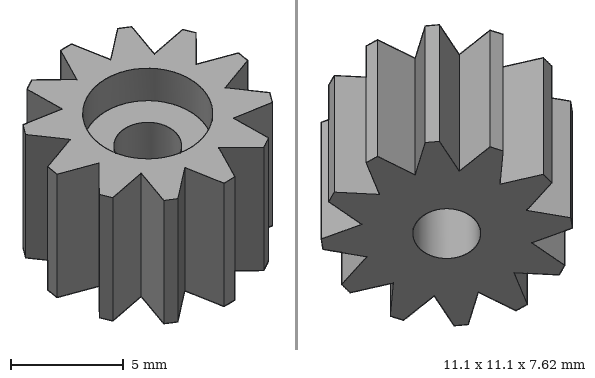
import cadquery as cq
import math

outer_size = 11.13
height = 7.62

tooth_count = 12
tip_width = 0.63
root_radius = 3.81

bore_diameter = 3.0
counterbore_diameter = 5.77
counterbore_depth = 2.0


def rotated(x, y, angle):
    """Turn a point about the Z axis."""
    return (
        x * math.cos(angle) - y * math.sin(angle),
        x * math.sin(angle) + y * math.cos(angle),
    )


def gear_outline():
    """Two tip corners and the following root point for each tooth."""
    pitch_angle = 2 * math.pi / tooth_count
    points = []
    for tooth in range(tooth_count):
        angle = tooth * pitch_angle
        points.append(rotated(outer_size / 2, -tip_width / 2, angle))
        points.append(rotated(outer_size / 2, tip_width / 2, angle))
        points.append(rotated(root_radius, 0, angle + pitch_angle / 2))
    return points


gear = cq.Workplane("XY").polyline(gear_outline()).close().extrude(height)

result = (
    gear.faces(">Z")
    .workplane(origin=(0, 0, height))
    .cboreHole(bore_diameter, counterbore_diameter, counterbore_depth)
)